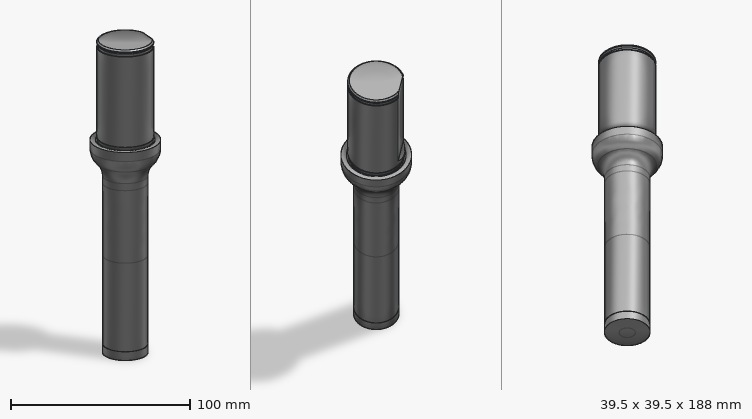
import cadquery as cq
import math

total_length = 188.0
point_height = 0.4
cutting_top = 5.6
waist_height = 58.8
body_top = 102.5
neck_top = 106.8
flange_bulge_top = 122.8
flange_top = 128.2
relief_top = 129.7

point_diameter = 9.0
cutting_diameter = 25.5
body_diameter = 25.2
relief_diameter = 31.2
shank_diameter = 32.0
flange_diameter = 39.5

bulge_radius = 10.3

face_groove_diameter = 33.3
face_groove_depth = 0.5

end_chamfer = 1.0
groove_top = 186.5
groove_shoulder = 185.5
groove_bottom = 184.0
groove_depth = 0.5

flat_distance = 14.0
flat_bottom = 133.9


def make_cutting_body():
    """Round cutting end with a shallow point."""
    radius = cutting_diameter / 2
    profile = (
        cq.Workplane("XZ")
        .lineTo(point_diameter / 2, 0)
        .lineTo(radius, point_height)
        .lineTo(radius, cutting_top)
        .lineTo(0, cutting_top)
        .close()
    )
    return profile.revolve(360, (0, 0, 0), (0, 1, 0))


def fillet_point(neck_radius, fillet_radius, angle):
    """Point on the concave fillet, turned by angle from the neck."""
    return (
        neck_radius + fillet_radius * (1 - math.cos(angle)),
        neck_top + fillet_radius * math.sin(angle),
    )


def bulge_point(flange_radius, angle):
    """Point on the convex arc, turned by angle from the flange rim."""
    return (
        flange_radius - bulge_radius * (1 - math.cos(angle)),
        flange_bulge_top - bulge_radius * math.sin(angle),
    )


def make_turned_holder():
    """Turned body, flange and shank above the cutting end."""
    body_radius = body_diameter / 2
    neck_radius = cutting_diameter / 2
    flange_radius = flange_diameter / 2
    relief_radius = relief_diameter / 2
    shank_radius = shank_diameter / 2
    face_groove_radius = face_groove_diameter / 2

    rise = flange_bulge_top - neck_top
    spread = flange_radius - neck_radius
    turn = 2 * math.atan2(spread, rise)
    fillet_radius = rise / math.sin(turn) - bulge_radius
    inflection = fillet_point(neck_radius, fillet_radius, turn)
    fillet_middle = fillet_point(neck_radius, fillet_radius, turn / 2)
    bulge_middle = bulge_point(flange_radius, turn / 2)

    groove_radius = shank_radius - groove_depth
    profile = (
        cq.Workplane("XZ")
        .moveTo(0, cutting_top)
        .lineTo(body_radius, cutting_top)
        .lineTo(body_radius, waist_height)
        .lineTo(neck_radius, body_top)
        .lineTo(neck_radius, neck_top)
        .threePointArc(fillet_middle, inflection)
        .threePointArc(bulge_middle, (flange_radius, flange_bulge_top))
        .lineTo(flange_radius, flange_top)
        .lineTo(face_groove_radius, flange_top)
        .lineTo(face_groove_radius, flange_top - face_groove_depth)
        .lineTo(relief_radius, flange_top - face_groove_depth)
        .lineTo(relief_radius, relief_top)
        .lineTo(shank_radius, relief_top)
        .lineTo(shank_radius, groove_bottom)
        .lineTo(groove_radius, groove_bottom)
        .lineTo(groove_radius, groove_shoulder)
        .lineTo(shank_radius, groove_top)
        .lineTo(shank_radius, total_length - end_chamfer)
        .lineTo(shank_radius - end_chamfer, total_length)
        .lineTo(0, total_length)
        .close()
    )
    return profile.revolve(360, (0, 0, 0), (0, 1, 0))


def make_flat_cutter():
    """Wedge-ended block that cuts the flat and its 45 degree run-out."""
    outer_distance = shank_diameter / 2
    ramp_drop = outer_distance - flat_distance
    return (
        cq.Workplane("YZ")
        .moveTo(flat_distance, total_length)
        .lineTo(flat_distance, flat_bottom)
        .lineTo(outer_distance, flat_bottom - ramp_drop)
        .lineTo(outer_distance, total_length)
        .close()
        .extrude(shank_diameter / 2, both=True)
    )


cutting_body = make_cutting_body()
holder = make_turned_holder().cut(make_flat_cutter())

result = cq.Compound.makeCompound([cutting_body.val(), holder.val()])